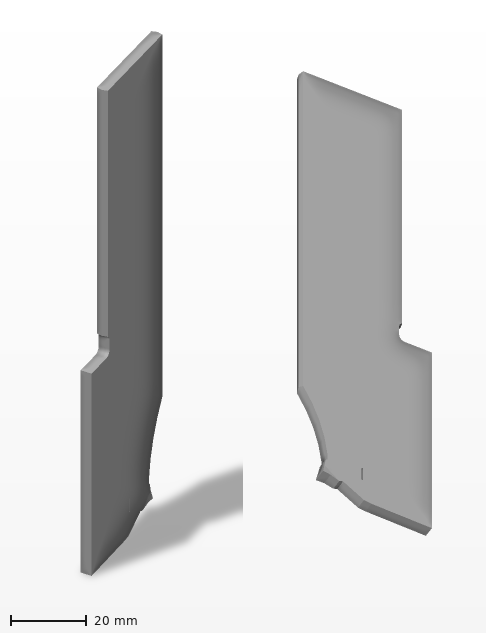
import cadquery as cq

blade_thickness = 3.3
blade_height = 150.0
blade_depth = 39.5
insert_width = 4.0

shank_front = 8.5
shoulder_height = 64.8
back_edge_bottom = 34.6
ridge_depth = 0.5

notch_floor = 9.9
notch_radius = 1.8
notch_top = 71.2
notch_lip = 0.8 * notch_radius

clearance_middle = (33.5, 21.6)
clearance_end = (31.6, 12.3)

heel = (0.0, 0.0)
toe_start = (18.3, 0.3)
toe_end = (20.5, 0.6)
seat_front = (26.7, 4.4)

rear_gap = 0.5

insert_top = (31.6, 10.2)
insert_crest = (24.2, 12.9)
insert_crest_end = (21.9, 12.9)
insert_rear_top = (21.3, 12.2)
insert_rear_bottom = (21.3, 7.8)
insert_lower_bend = (23.1, 6.0)
nose_bottom = (28.0, 4.0)
nose_underside = (30.8, 5.0)
cutting_tip = (33.2, 5.1)
nose_top = (32.1, 10.2)
flare_top_z = 7.8


def side_plate(outline, thickness):
    """Extrude an outline in the YZ plane, centred on X = 0."""
    return outline.close().extrude(thickness / 2, both=True)


def edge_ridge(tip_y, inward, bottom):
    """Wedges to remove so that a vertical edge at tip_y comes to a V-shaped ridge."""
    half = blade_thickness / 2
    base_y = tip_y + inward * ridge_depth
    wedges = cq.Workplane("XY", origin=(0, 0, bottom))
    for side in (-1, 1):
        wedges = wedges.polyline([(0, tip_y), (side * half, tip_y), (side * half, base_y)]).close()
    return wedges.extrude(blade_height - bottom)


def make_insert():
    body_outline = cq.Workplane("YZ").polyline([
        insert_top, insert_crest, insert_crest_end, insert_rear_top, insert_rear_bottom,
        insert_lower_bend, nose_bottom, nose_underside, cutting_tip, nose_top,
    ])
    body = side_plate(body_outline, blade_thickness)
    return body.union(make_flare())


def make_flare():
    """Nose that widens from the blade thickness at the flare line to the full width at the tip."""
    edge_fraction = (nose_top[1] - flare_top_z) / (nose_top[1] - cutting_tip[1])
    flare_top_y = nose_top[0] + edge_fraction * (cutting_tip[0] - nose_top[0])
    flare_top = cq.Vector(0, flare_top_y, flare_top_z)
    flare_line = flare_top - cq.Vector(0, *nose_bottom)

    outline = cq.Workplane("YZ").polyline([
        (flare_top_y, flare_top_z), nose_bottom, nose_underside, cutting_tip,
    ])
    prism = side_plate(outline, insert_width)

    section_plane = cq.Plane(origin=flare_top, xDir=(1, 0, 0), normal=flare_line)
    tip_distance = section_plane.toLocalCoords(cq.Vector(0, *cutting_tip)).y
    taper = (
        cq.Workplane(section_plane)
        .polyline([
            (-blade_thickness / 2, 0),
            (blade_thickness / 2, 0),
            (insert_width / 2, tip_distance),
            (-insert_width / 2, tip_distance),
        ])
        .close()
        .extrude(flare_line.Length, both=True)
    )
    return prism.intersect(taper)


def make_blade(insert):
    arc_offset = notch_radius * (1 - 0.5 ** 0.5)
    outline = (
        cq.Workplane("YZ")
        .moveTo(*heel)
        .lineTo(0, shoulder_height)
        .lineTo(notch_floor - notch_radius, shoulder_height)
        .threePointArc(
            (notch_floor - arc_offset, shoulder_height + arc_offset),
            (notch_floor, shoulder_height + notch_radius),
        )
        .lineTo(notch_floor, notch_top - notch_lip)
        .tangentArcPoint((shank_front, notch_top), relative=False)
        .lineTo(shank_front, blade_height)
        .lineTo(blade_depth, blade_height)
        .lineTo(blade_depth, back_edge_bottom)
        .threePointArc(clearance_middle, clearance_end)
        .lineTo(*insert_top)
        .lineTo(*seat_front)
        .lineTo(*toe_end)
        .lineTo(*toe_start)
    )
    blade = side_plate(outline, blade_thickness)
    blade = blade.cut(edge_ridge(blade_depth, -1, 0))
    blade = blade.cut(edge_ridge(shank_front, 1, shoulder_height + notch_radius))
    rear_slot = side_plate(
        cq.Workplane("YZ").polyline([
            insert_rear_top,
            insert_rear_bottom,
            (insert_rear_bottom[0] - rear_gap, insert_rear_bottom[1]),
            (insert_rear_top[0] - rear_gap, insert_rear_top[1]),
        ]),
        blade_thickness,
    )
    return blade.cut(insert).cut(rear_slot)


insert = make_insert()
blade = make_blade(insert)

result = cq.Compound.makeCompound([*blade.solids().vals(), *insert.solids().vals()])